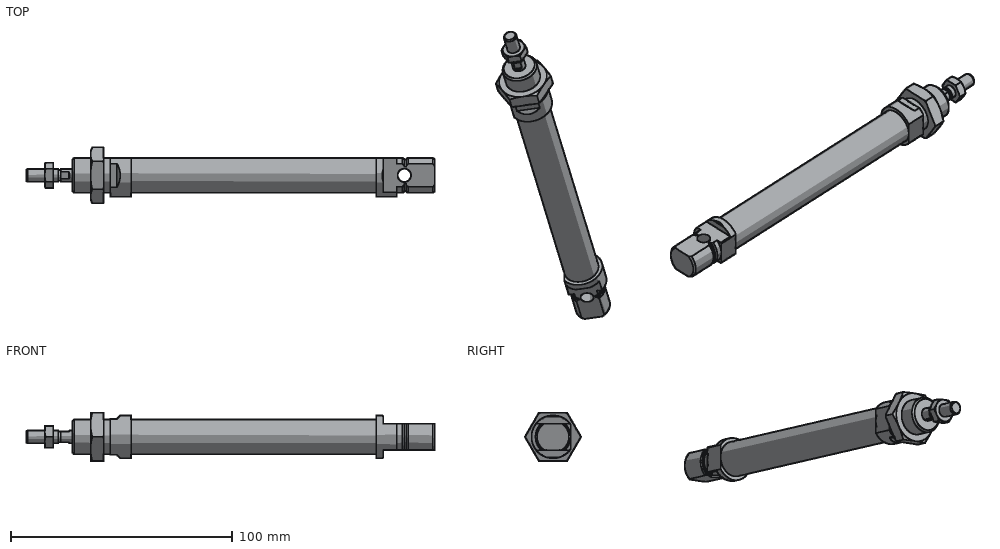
import cadquery as cq
import math

total_length = 185.0

rod_dia = 6.0
body_dia = 16.0
collar_dia = 19.5

rod_tip_dia = 5.0
rod_chamfer_length = 0.7
rod_undercut_start = 14.6
rod_undercut_end = 15.7
rod_flat_end = 19.8
rod_neck = 5.0

rod_nut_start = 8.5
rod_nut_thickness = 3.9
rod_nut_across_flats = 10.0
rod_nut_chamfer = 0.4

front_cap_start = 20.9
nose_end_dia = 14.2
nose_chamfer_length = 1.0
front_collar_start = 38.1
wrench_across_flats = 16.3
wrench_flat_end = 41.0
front_cap_end = 47.5

mount_nut_start = 29.2
mount_nut_thickness = 6.0
mount_nut_across_flats = 22.0
mount_nut_front_chamfer = 0.7
mount_nut_rear_chamfer = 0.4

rear_cap_start = 158.4
tongue_start = 161.7
rear_collar_end = 167.8
tongue_thickness = 12.0
tongue_edge_chamfer = 0.5
groove_center = 171.5
groove_top_width = 2.5
groove_slot_width = 1.0
groove_slot_top_dia = 15.0
groove_floor_dia = 14.2
pivot_hole_center = 171.1
pivot_hole_dia = 6.0
tail_end_dia = 14.5
tail_chamfer_length = 1.0


def cylinder(dia, start, end):
    """Cylinder on the X axis between two X positions."""
    return cq.Workplane("YZ", origin=(start, 0, 0)).circle(dia / 2).extrude(end - start)


def revolve_about_x(profile):
    """Revolve a closed (x, radius) outline about the X axis."""
    return cq.Workplane("XY").polyline(profile).close().revolve(360, (0, 0, 0), (1, 0, 0))


def prism_pair(profile, width):
    """Extrude an (x, z) outline to both sides in Y, with its mirror image below the axis."""
    upper = cq.Workplane("XZ").polyline(profile).close().extrude(width / 2, both=True)
    return upper.union(upper.mirror("XY"))


def flatten_port_side(cap, start, end):
    """Cut the +Y side of a collar down to the body radius."""
    cutter = cq.Workplane("XY").box(end - start, collar_dia, 2 * collar_dia, centered=(False, False, True))
    return cap.cut(cutter.translate((start, body_dia / 2, 0)))


def make_rod():
    """Rod reaching back to the barrel face, with an undercut and two wrench flats."""
    radius = rod_dia / 2
    neck_radius = rod_neck / 2
    rod = revolve_about_x([
        (0, 0),
        (0, rod_tip_dia / 2),
        (rod_chamfer_length, radius),
        (rod_undercut_start, radius),
        (rod_undercut_start, neck_radius),
        (rod_undercut_end, neck_radius),
        (rod_undercut_end, radius),
        (front_cap_end, radius),
        (front_cap_end, 0),
    ])
    flat_depth = radius - neck_radius
    flats = prism_pair([
        (rod_undercut_start, neck_radius),
        (rod_flat_end - flat_depth, neck_radius),
        (rod_flat_end, radius),
        (rod_undercut_start, radius),
    ], rod_dia)
    return rod.cut(flats)


def hexagon_nut(start, thickness, across_flats, bore, front_chamfer):
    """Hexagon nut with corners on +Y and -Y, its front face chamfered to a circle touching the flats."""
    end = start + thickness
    flat_radius = across_flats / 2
    corner_radius = flat_radius / math.cos(math.pi / 6)
    hexagon = cq.Workplane("YZ", origin=(start, 0, 0)).polygon(6, 2 * corner_radius).extrude(thickness)
    envelope = revolve_about_x([
        (start, 0),
        (start, flat_radius),
        (start + front_chamfer, corner_radius),
        (end, corner_radius),
        (end, 0),
    ])
    return hexagon.intersect(envelope).cut(cylinder(bore, start, end))


def make_rod_nut():
    return hexagon_nut(rod_nut_start, rod_nut_thickness, rod_nut_across_flats, rod_dia, rod_nut_chamfer)


def make_mount_nut():
    """Nut on the threaded nose, with a smaller chamfer on the rear corners as well."""
    nut = hexagon_nut(
        mount_nut_start,
        mount_nut_thickness,
        mount_nut_across_flats,
        body_dia,
        mount_nut_front_chamfer,
    )
    end = mount_nut_start + mount_nut_thickness
    across_corners = mount_nut_across_flats / math.cos(math.pi / 6)
    rear_envelope = cylinder(across_corners, mount_nut_start, end).faces(">X").chamfer(mount_nut_rear_chamfer)
    return nut.intersect(rear_envelope)


def make_front_cap():
    """Threaded nose and collar, bored for the rod, with wrench flats above and below."""
    radius = body_dia / 2
    collar_radius = collar_dia / 2
    cap = revolve_about_x([
        (front_cap_start, 0),
        (front_cap_start, nose_end_dia / 2),
        (front_cap_start + nose_chamfer_length, radius),
        (front_collar_start, radius),
        (front_collar_start, collar_radius),
        (front_cap_end, collar_radius),
        (front_cap_end, 0),
    ])
    cap = flatten_port_side(cap, front_collar_start, front_cap_end)
    flat_height = wrench_across_flats / 2
    wrench_flats = prism_pair([
        (front_collar_start, flat_height),
        (wrench_flat_end, flat_height),
        (wrench_flat_end + collar_radius - flat_height, collar_radius),
        (front_collar_start, collar_radius),
    ], collar_dia)
    return cap.cut(wrench_flats).cut(cylinder(rod_dia, front_cap_start, front_cap_end))


def make_barrel():
    return cylinder(body_dia, front_cap_end, rear_cap_start)


def make_rear_cap():
    """Collar and flat-sided pivot tongue, with a chamfered ring groove crossing the tongue."""
    radius = body_dia / 2
    collar_radius = collar_dia / 2
    slot_top_radius = groove_slot_top_dia / 2
    slot_floor_radius = groove_floor_dia / 2
    slot_start = groove_center - groove_slot_width / 2
    slot_end = groove_center + groove_slot_width / 2
    cap = revolve_about_x([
        (rear_cap_start, 0),
        (rear_cap_start, collar_radius),
        (rear_collar_end, collar_radius),
        (rear_collar_end, radius),
        (groove_center - groove_top_width / 2, radius),
        (slot_start, slot_top_radius),
        (slot_start, slot_floor_radius),
        (slot_end, slot_floor_radius),
        (slot_end, slot_top_radius),
        (groove_center + groove_top_width / 2, radius),
        (total_length - tail_chamfer_length, radius),
        (total_length, tail_end_dia / 2),
        (total_length, 0),
    ])
    cap = flatten_port_side(cap, rear_cap_start, rear_collar_end)
    tongue_faces = prism_pair([
        (tongue_start, tongue_thickness / 2),
        (total_length, tongue_thickness / 2),
        (total_length, collar_radius),
        (tongue_start - tongue_edge_chamfer, collar_radius),
        (tongue_start, collar_radius - tongue_edge_chamfer),
    ], collar_dia)
    pivot_hole = (
        cq.Workplane("XY")
        .center(pivot_hole_center, 0)
        .circle(pivot_hole_dia / 2)
        .extrude(collar_dia, both=True)
    )
    return cap.cut(tongue_faces).cut(pivot_hole)


rod = make_rod()
rod_nut = make_rod_nut()
front_cap = make_front_cap()
mount_nut = make_mount_nut()
barrel = make_barrel()
rear_cap = make_rear_cap()

result = cq.Compound.makeCompound([
    rod.val(),
    rod_nut.val(),
    front_cap.val(),
    mount_nut.val(),
    barrel.val(),
    rear_cap.val(),
])